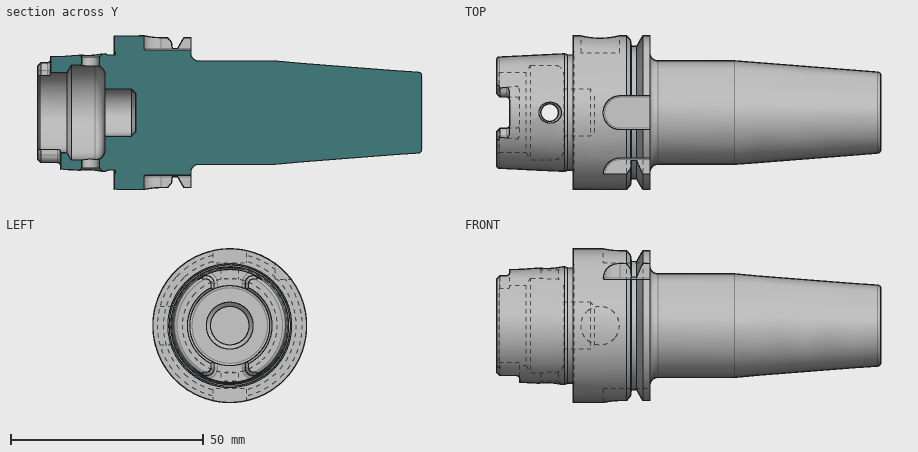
import cadquery as cq
import math


shank_length = 19.9
taper_half_slope = 0.05
taper_large_radius = 15.33
neck_length = 2.2
neck_radius = 15.0
neck_ramp = 0.75
shank_end_round = 0.75
taper_length = shank_length - neck_length
taper_small_radius = taper_large_radius - taper_half_slope * taper_length

relief_depth = 0.25
relief_floor_radius = 15.75
relief_mouth_radius = 16.1

flange_radius = 20.0
flange_width = 20.0
groove_start = 13.9
groove_end = 18.1
groove_rim_width = 1.05
groove_rim_drop = 1.2
groove_left_slope = 1.25
groove_right_slope = 1.6
groove_floor_radius = 17.25

nose_radius = 13.5
nose_root_round = 2.0
nose_length = 80.0
nose_cylinder_end = 41.9
nose_tip_radius = 10.5
nose_tip_round = 1.0

bore_radius = 10.4
bore_mouth_chamfer = 0.6
bore_land_length = 7.7
chamber_radius = 12.3
chamber_ramp_angle = 60.0
bore_depth = 17.5
chamber_floor_round = 2.5
thread_radius = 6.1
thread_depth = 8.0
thread_bottom_radius = 5.0
thread_bottom_cone = 1.1

notch_half_width = 4.03
notch_flare_radius = 2.05
notch_shoulder_height = 13.0
notch_floor_round = 0.85
notch_mouth_chamfer = 0.9
top_notch_depth = 3.4
bottom_notch_depth = 6.0

cross_hole_position = 6.1
cross_hole_radius = 2.25
cross_hole_rim_radius = 2.95

keyway_half_width = 4.4
keyway_start = 7.8
keyway_floor_round = 0.4
keyway_floor_height = 16.3
index_slot_offset = 16.2
index_slot_floor_height = 12.0
pocket_position = 7.0
pocket_radius = 5.0
pocket_depth = 4.5

X_AXIS = ((0, 0, 0), (1, 0, 0))


def revolve(profile):
    return profile.close().revolve(360, *X_AXIS)


def outer_body():
    round_corner = 1 - math.sqrt(0.5)
    root_x = flange_width + nose_root_round * round_corner
    root_r = nose_radius + nose_root_round * round_corner
    body = revolve(
        cq.Workplane("XY")
        .moveTo(-shank_length, 0)
        .lineTo(-shank_length, taper_small_radius)
        .lineTo(-neck_length, taper_large_radius)
        .lineTo(-neck_length + neck_ramp, neck_radius)
        .lineTo(relief_depth, neck_radius)
        .lineTo(relief_depth, relief_floor_radius)
        .lineTo(0, relief_mouth_radius)
        .lineTo(0, flange_radius)
        .lineTo(groove_start, flange_radius)
        .lineTo(groove_start + groove_rim_width, flange_radius - groove_rim_drop)
        .lineTo(groove_start + groove_left_slope, groove_floor_radius)
        .lineTo(groove_end - groove_right_slope, groove_floor_radius)
        .lineTo(groove_end, flange_radius)
        .lineTo(flange_width, flange_radius)
        .lineTo(flange_width, nose_radius + nose_root_round)
        .threePointArc((root_x, root_r), (flange_width + nose_root_round, nose_radius))
        .lineTo(nose_cylinder_end, nose_radius)
        .lineTo(nose_length, nose_tip_radius)
        .lineTo(nose_length, 0)
    )
    body = body.faces("<X").edges().fillet(shank_end_round)
    return body.faces(">X").edges().fillet(nose_tip_round)


def clamping_bore():
    mouth = -shank_length
    land_end = mouth + bore_land_length
    ramp_length = (chamber_radius - bore_radius) / math.tan(math.radians(chamber_ramp_angle))
    floor = mouth + bore_depth
    thread_end = floor + thread_depth
    floor_round_radius = chamber_radius - chamber_floor_round
    diagonal = chamber_floor_round * math.sqrt(0.5)
    floor_round_middle = (floor - chamber_floor_round + diagonal, floor_round_radius + diagonal)
    return revolve(
        cq.Workplane("XY")
        .moveTo(mouth, 0)
        .lineTo(mouth, bore_radius + bore_mouth_chamfer)
        .lineTo(mouth + bore_mouth_chamfer, bore_radius)
        .lineTo(land_end, bore_radius)
        .lineTo(land_end + ramp_length, chamber_radius)
        .lineTo(floor - chamber_floor_round, chamber_radius)
        .threePointArc(floor_round_middle, (floor, floor_round_radius))
        .lineTo(floor, thread_radius)
        .lineTo(thread_end - thread_bottom_cone, thread_radius)
        .lineTo(thread_end, thread_bottom_radius)
        .lineTo(thread_end, 0)
    )


def notch_profile(x):
    """Notch section at x: straight walls that flare out to a flat shoulder on each side."""
    flare_start = notch_shoulder_height - notch_flare_radius
    flare_end = notch_half_width + notch_flare_radius
    flare_inset = notch_flare_radius * math.sqrt(0.5)
    middle_y = flare_end - flare_inset
    middle_z = flare_start + flare_inset
    side = flange_radius
    return (
        cq.Workplane("YZ", origin=(x, 0, 0))
        .moveTo(-notch_half_width, 0)
        .lineTo(notch_half_width, 0)
        .lineTo(notch_half_width, flare_start)
        .threePointArc((middle_y, middle_z), (flare_end, notch_shoulder_height))
        .lineTo(side, notch_shoulder_height)
        .lineTo(side, flange_radius)
        .lineTo(-side, flange_radius)
        .lineTo(-side, notch_shoulder_height)
        .lineTo(-flare_end, notch_shoulder_height)
        .threePointArc((-middle_y, middle_z), (-notch_half_width, flare_start))
        .close()
    )


def drive_notch(depth):
    """Notch cutter on the +Z side, with a rounded floor edge and a flared mouth."""
    mouth = -shank_length
    slot = notch_profile(mouth).extrude(depth).faces(">X").edges().fillet(notch_floor_round)
    flared_mouth = notch_profile(mouth + notch_mouth_chamfer).extrude(-notch_mouth_chamfer, taper=-45)
    return slot.union(flared_mouth)


def cross_hole():
    """Hole along Z through both shank walls, countersunk at each outer end."""
    hole = (
        cq.Workplane("XY", origin=(-cross_hole_position, 0, 0))
        .circle(cross_hole_radius)
        .extrude(flange_radius, both=True)
    )
    surface = taper_large_radius - taper_half_slope * (cross_hole_position - neck_length)
    sink = cross_hole_rim_radius - cross_hole_radius
    countersink = cq.Solid.makeCone(
        cross_hole_radius,
        cross_hole_rim_radius + sink,
        2 * sink,
        pnt=cq.Vector(-cross_hole_position, 0, surface - sink),
        dir=cq.Vector(0, 0, 1),
    )
    return hole.union(countersink).union(countersink.mirror("XY"))


def round_ended_slot(y, floor_height):
    """Slot cutter running out through the nose side of the flange, open towards +Z."""
    centre = keyway_start + keyway_half_width
    run = 2 * (flange_width - centre)
    length = run + 2 * keyway_half_width
    return (
        cq.Workplane("XY", origin=(flange_width, y, floor_height))
        .slot2D(length, 2 * keyway_half_width)
        .extrude(flange_radius)
        .faces("<Z")
        .edges()
        .fillet(keyway_floor_round)
    )


def data_carrier_pocket():
    return (
        cq.Workplane("XZ", origin=(pocket_position, flange_radius, 0))
        .circle(pocket_radius)
        .extrude(pocket_depth)
    )


keyway = round_ended_slot(0, keyway_floor_height)
result = (
    outer_body()
    .cut(clamping_bore())
    .cut(drive_notch(top_notch_depth))
    .cut(drive_notch(bottom_notch_depth).mirror("XY"))
    .cut(cross_hole())
    .cut(keyway)
    .cut(keyway.mirror("XY"))
    .cut(round_ended_slot(-index_slot_offset, index_slot_floor_height))
    .cut(data_carrier_pocket())
)